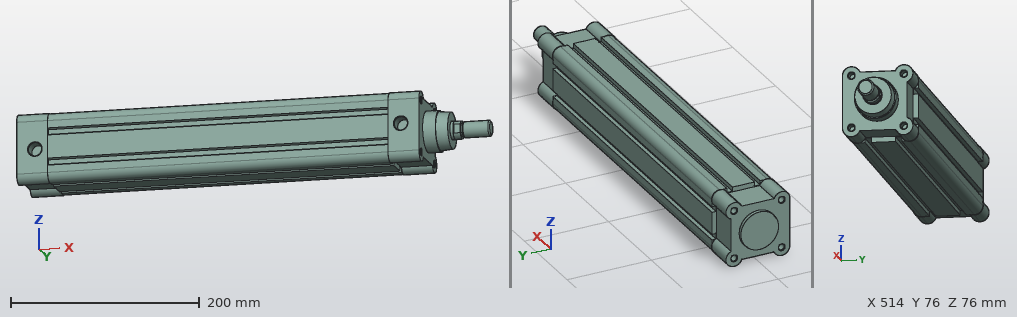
import cadquery as cq
import math

TOTAL_LENGTH = 514.0
REAR_BOSS_LENGTH = 4.0
COVER_LENGTH = 34.0
COLLAR_STRAIGHT_LENGTH = 14.0
COLLAR_NOSE_LENGTH = 13.0
ROD_SHOULDER_LENGTH = 3.0
ROD_RELIEF_LENGTH = 1.0
ROD_FLATS_LENGTH = 6.5
ROD_NECK_LENGTH = 1.5
ROD_THREAD_LENGTH = 30.5

WIDTH = 76.0
HALF_WIDTH = WIDTH / 2
TIE_OFFSET = 28.5
CORNER_RADIUS = HALF_WIDTH - TIE_OFFSET

RECESS_DEPTH = 6.0
TIE_HOLE_DIAMETER = 6.5
TIE_HOLE_DEPTH = 10.5
HOLE_CHAMFER = 0.75
PORT_DIAMETER = 14.5
PORT_DEPTH = 15.5
PORT_INSET = 20.0
PORT_OFFSET = 2.0
BOSS_DIAMETER = 44.5
NOSE_BASE_DIAMETER = 42.0
NOSE_TIP_DIAMETER = 39.5

TUBE_WIDTH = 75.0
SLOT_CENTRE = 16.5
SLOT_WIDTH = 6.5
SLOT_DEPTH = 4.9
PORT_SIDE_SLOT_DEPTH = 3.0
PORT_SIDE_SLOT_MOUTH = 7.5
PORT_SIDE_SLOT_FLOOR = 5.0

ROD_DIAMETER = 20.0
RELIEF_DIAMETER = 19.5
ACROSS_FLATS = 17.0
THREAD_DIAMETER = 17.5
THREAD_CHAMFER = 1.5
NECK_DIAMETER = THREAD_DIAMETER - 2 * THREAD_CHAMFER

COLLAR_LENGTH = COLLAR_STRAIGHT_LENGTH + COLLAR_NOSE_LENGTH
ROD_EXPOSED_LENGTH = (
    ROD_SHOULDER_LENGTH + ROD_RELIEF_LENGTH + ROD_FLATS_LENGTH + ROD_NECK_LENGTH + ROD_THREAD_LENGTH
)
FRONT_FACE_X = TOTAL_LENGTH - REAR_BOSS_LENGTH - COLLAR_LENGTH - ROD_EXPOSED_LENGTH
TUBE_START_X = COVER_LENGTH
TUBE_END_X = FRONT_FACE_X - COVER_LENGTH
COLLAR_END_X = FRONT_FACE_X + COLLAR_LENGTH


def section(x):
    """Workplane across the cylinder at X = x, with local x along Y and local y along Z."""
    return cq.Workplane("YZ", origin=(x, 0, 0))


def rod_disc(x, diameter, length):
    return section(x).circle(diameter / 2).extrude(length)


def rounded_square(x, length, width):
    block = section(x).rect(width, width).extrude(length)
    return block.edges("|X").fillet(width / 2 - TIE_OFFSET)


def side_recess(x, length):
    """Cutter for the +Z side that leaves a round lobe about each tie-bolt axis."""
    floor = HALF_WIDTH - RECESS_DEPTH
    floor_half = TIE_OFFSET - math.sqrt(CORNER_RADIUS**2 - (floor - TIE_OFFSET) ** 2)
    arc_reach = CORNER_RADIUS * math.sqrt(0.5)
    arc_y = TIE_OFFSET - arc_reach
    arc_z = TIE_OFFSET + arc_reach
    return (
        section(x)
        .moveTo(-floor_half, floor)
        .lineTo(floor_half, floor)
        .threePointArc((arc_y, arc_z), (TIE_OFFSET, HALF_WIDTH))
        .lineTo(-TIE_OFFSET, HALF_WIDTH)
        .threePointArc((-arc_y, arc_z), (-floor_half, floor))
        .close()
        .extrude(length)
    )


def blind_hole(mouth_centre, inward, diameter, depth):
    """Cutter for a blind hole with a chamfered mouth, sunk along the unit vector inward."""
    start = cq.Vector(*mouth_centre)
    direction = cq.Vector(*inward)
    radius = diameter / 2
    hole = cq.Solid.makeCylinder(radius, depth, start, direction)
    mouth = cq.Solid.makeCone(radius + HOLE_CHAMFER, radius, HOLE_CHAMFER, start, direction)
    return hole.fuse(mouth)


def make_cover(x, outer_face_x, inward, port_z):
    """Cover body with a flat -Y side for the port; inward is the X sign pointing away from its outer face."""
    cover = rounded_square(x, COVER_LENGTH, WIDTH)

    recess = side_recess(x, COVER_LENGTH)
    for angle in (0, -90, 180):
        cover = cover.cut(recess.rotate((0, 0, 0), (1, 0, 0), angle))

    for y in (-TIE_OFFSET, TIE_OFFSET):
        for z in (-TIE_OFFSET, TIE_OFFSET):
            tie_hole = blind_hole((outer_face_x, y, z), (inward, 0, 0), TIE_HOLE_DIAMETER, TIE_HOLE_DEPTH)
            cover = cover.cut(tie_hole)

    port_x = outer_face_x + inward * PORT_INSET
    port = blind_hole((port_x, -HALF_WIDTH, port_z), (0, 1, 0), PORT_DIAMETER, PORT_DEPTH)
    return cover.cut(port)


def make_rear_cover():
    cover = make_cover(0, 0, 1, -PORT_OFFSET)
    return cover.union(rod_disc(-REAR_BOSS_LENGTH, BOSS_DIAMETER, REAR_BOSS_LENGTH))


def make_front_cover():
    cover = make_cover(TUBE_END_X, FRONT_FACE_X, -1, PORT_OFFSET)
    collar = rod_disc(FRONT_FACE_X, BOSS_DIAMETER, COLLAR_STRAIGHT_LENGTH)
    nose = (
        section(FRONT_FACE_X + COLLAR_STRAIGHT_LENGTH)
        .circle(NOSE_BASE_DIAMETER / 2)
        .workplane(offset=COLLAR_NOSE_LENGTH)
        .circle(NOSE_TIP_DIAMETER / 2)
        .loft()
    )
    rod_bore = rod_disc(TUBE_END_X, ROD_DIAMETER, COLLAR_END_X - TUBE_END_X)
    return cover.union(collar).union(nose).cut(rod_bore)


def slot_pair(mouth_width, floor_width, depth):
    """Cutters for the two slots of the +Z side, with equally sloping walls."""
    face = TUBE_WIDTH / 2
    floor = face - depth
    slots = section(TUBE_START_X)
    for centre in (-SLOT_CENTRE, SLOT_CENTRE):
        slots = slots.polyline(
            [
                (centre - mouth_width / 2, face),
                (centre + mouth_width / 2, face),
                (centre + floor_width / 2, floor),
                (centre - floor_width / 2, floor),
            ]
        ).close()
    return slots.extrude(TUBE_END_X - TUBE_START_X)


def make_tube():
    """Tube body; its slots on the -Y side, the port side, have sloping walls."""
    tube = rounded_square(TUBE_START_X, TUBE_END_X - TUBE_START_X, TUBE_WIDTH)
    straight_slots = slot_pair(SLOT_WIDTH, SLOT_WIDTH, SLOT_DEPTH)
    for angle in (0, -90, 180):
        tube = tube.cut(straight_slots.rotate((0, 0, 0), (1, 0, 0), angle))
    sloping_slots = slot_pair(PORT_SIDE_SLOT_MOUTH, PORT_SIDE_SLOT_FLOOR, PORT_SIDE_SLOT_DEPTH)
    return tube.cut(sloping_slots.rotate((0, 0, 0), (1, 0, 0), 90))


def make_rod():
    """Rod from the tube end, through the front cover, to the threaded tip."""
    relief_x = COLLAR_END_X + ROD_SHOULDER_LENGTH
    flats_x = relief_x + ROD_RELIEF_LENGTH
    neck_x = flats_x + ROD_FLATS_LENGTH
    thread_x = neck_x + ROD_NECK_LENGTH

    shank = rod_disc(TUBE_END_X, ROD_DIAMETER, relief_x - TUBE_END_X)
    relief = rod_disc(relief_x, RELIEF_DIAMETER, ROD_RELIEF_LENGTH)
    flats = rod_disc(flats_x, RELIEF_DIAMETER, ROD_FLATS_LENGTH).intersect(
        section(flats_x).rect(ACROSS_FLATS, RELIEF_DIAMETER).extrude(ROD_FLATS_LENGTH)
    )
    neck = rod_disc(neck_x, NECK_DIAMETER, ROD_NECK_LENGTH)
    thread = rod_disc(thread_x, THREAD_DIAMETER, ROD_THREAD_LENGTH)
    thread = thread.faces("|X").chamfer(THREAD_CHAMFER)
    return shank.union(relief).union(flats).union(neck).union(thread)


rear_cover = make_rear_cover()
tube = make_tube()
front_cover = make_front_cover()
rod = make_rod()

result = cq.Compound.makeCompound([rear_cover.val(), tube.val(), front_cover.val(), rod.val()])